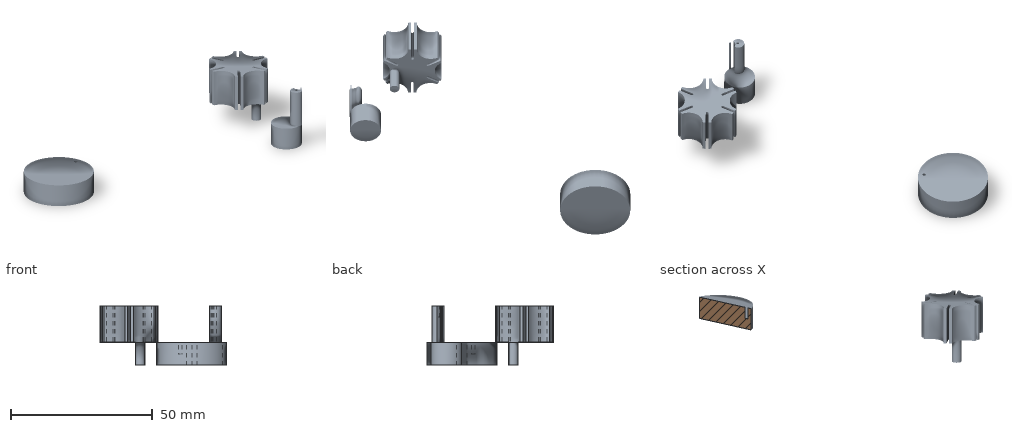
import cadquery as cq
import math

base_height = 8.0
total_height = 20.98
upper_height = total_height - base_height

disk_diameter = 24.77
shaft_diameter = 3.69
disk_hole_diameter = 1.12
disk_hole_depth = base_height / 2
disk_hole_position = (-4.0, 9.45)

slot_count = 6
slot_pitch = 360 / slot_count
wheel_position = (-22.08, 87.745)
wheel_radius = 11.14
slot_width = 0.96
slot_bottom_radius = 5.8
notch_centre_radius = wheel_radius / math.cos(math.radians(slot_pitch / 2))
notch_radius = 4.93
wheel_pin_diameter = 3.37
wheel_pin_offset = (3.92, 5.0)

hub_position = (5.53, 90.75)
hub_diameter = 10.9
post_diameter = 4.3
post_offset = (2.9, 2.3)
post_relief_corner = (-0.9, 0.55)
post_relief_right = (0.45, 2.2)
post_relief_left = (-2.2, 0.2)
post_hole_diameter = 0.96
post_hole_depth = 4.0
post_hole_offset = (-0.05, 0.2)
rib_thickness = 0.3
rib_start_angle = 68
rib_end_angle = 74


def polar(radius, angle):
    """Point at a radius and an angle in degrees about the local origin."""
    return (radius * math.cos(math.radians(angle)), radius * math.sin(math.radians(angle)))


def make_disk():
    """Round base disk with a shaft bore and a small blind hole near the rim."""
    disk = cq.Workplane("XY").circle(disk_diameter / 2).circle(shaft_diameter / 2).extrude(base_height)
    hole = (
        cq.Workplane("XY", origin=(0, 0, base_height))
        .center(*disk_hole_position)
        .circle(disk_hole_diameter / 2)
        .extrude(-disk_hole_depth)
    )
    return disk.cut(hole)


def make_shaft():
    """Shaft that fills the bore of the disk, flush with its faces."""
    return cq.Workplane("XY").circle(shaft_diameter / 2).extrude(base_height)


def make_wheel():
    """Geneva wheel in the upper layer with an offset pin below it."""
    wheel = cq.Workplane("XY").circle(wheel_radius).extrude(upper_height)
    slot_arc_centre = slot_bottom_radius + slot_width / 2
    slot_length = wheel_radius - slot_arc_centre
    slot_end = cq.Workplane("XY").center(slot_arc_centre, 0).circle(slot_width / 2).extrude(upper_height)
    slot = (
        cq.Workplane("XY")
        .center(slot_arc_centre, 0)
        .rect(2 * slot_length, slot_width)
        .extrude(upper_height)
        .intersect(cq.Workplane("XY").circle(wheel_radius).circle(slot_arc_centre).extrude(upper_height))
        .union(slot_end)
    )
    notch = cq.Workplane("XY").center(notch_centre_radius, 0).circle(notch_radius).extrude(upper_height)
    for index in range(slot_count):
        notch_angle = index * slot_pitch
        slot_angle = notch_angle + slot_pitch / 2
        wheel = wheel.cut(notch.rotate((0, 0, 0), (0, 0, 1), notch_angle))
        wheel = wheel.cut(slot.rotate((0, 0, 0), (0, 0, 1), slot_angle))
    pin = cq.Workplane("XY").center(*wheel_pin_offset).circle(wheel_pin_diameter / 2).extrude(base_height)
    wheel = wheel.translate((0, 0, base_height)).union(pin)
    return wheel.translate((*wheel_position, 0))


def make_post():
    """Round post with a wedge relieved from its -X +Y side and a small blind hole in its top."""
    far_corner = (-post_diameter, post_diameter)
    relief = (
        cq.Workplane("XY")
        .polyline([post_relief_corner, post_relief_right, far_corner, post_relief_left])
        .close()
        .extrude(upper_height)
    )
    post = cq.Workplane("XY").circle(post_diameter / 2).extrude(upper_height).cut(relief)
    hole = (
        cq.Workplane("XY", origin=(0, 0, upper_height))
        .center(*post_hole_offset)
        .circle(post_hole_diameter / 2)
        .extrude(-post_hole_depth)
    )
    return post.cut(hole).translate((*post_offset, base_height))


def make_rib():
    """Thin upright rib that follows a short arc of the hub rim."""
    outer_radius = hub_diameter / 2
    inner_radius = outer_radius - rib_thickness
    middle_angle = (rib_start_angle + rib_end_angle) / 2
    return (
        cq.Workplane("XY", origin=(0, 0, base_height))
        .moveTo(*polar(outer_radius, rib_start_angle))
        .threePointArc(polar(outer_radius, middle_angle), polar(outer_radius, rib_end_angle))
        .lineTo(*polar(inner_radius, rib_end_angle))
        .threePointArc(polar(inner_radius, middle_angle), polar(inner_radius, rib_start_angle))
        .close()
        .extrude(upper_height)
    )


def make_hub():
    """Driver hub: a round base carrying the post and the rim rib."""
    base = cq.Workplane("XY").circle(hub_diameter / 2).extrude(base_height)
    return base.union(make_post()).union(make_rib()).translate((*hub_position, 0))


disk = make_disk()
shaft = make_shaft()
wheel = make_wheel()
hub = make_hub()

result = cq.Compound.makeCompound([disk.val(), shaft.val(), wheel.val(), hub.val()])